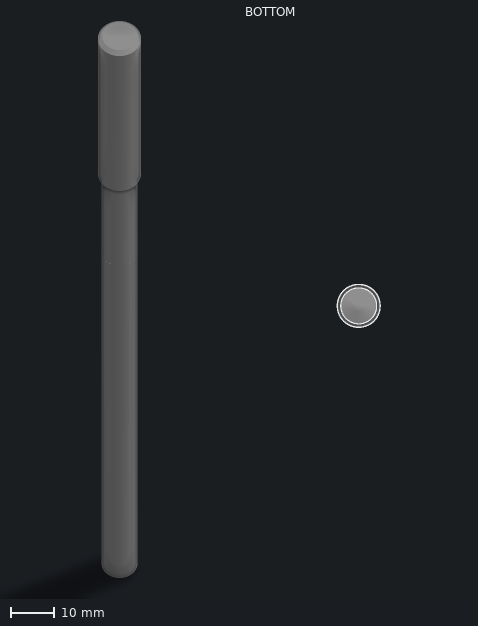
import cadquery as cq
import math

overall_length = 212.52

shank_diameter = 10.0
shank_length = 55.0
shank_chamfer = 1.0
neck_diameter = 8.33
neck_length = 31.0

cutting_diameter = 8.35
point_angle = 140.0

shank_radius = shank_diameter / 2
neck_radius = neck_diameter / 2
cutting_radius = cutting_diameter / 2
point_height = cutting_radius / math.tan(math.radians(point_angle / 2))
shoulder_z = overall_length - shank_length
cutting_top_z = shoulder_z - neck_length


def revolve_about_z(outline):
    """Turn a closed outline of (radius, Z) points about the drill axis."""
    return cq.Workplane("XZ").polyline(outline).close().revolve(360, (0, 0, 0), (0, 1, 0))


def make_shank():
    """Chamfered shank with the slightly slimmer neck below it."""
    return revolve_about_z([
        (0, cutting_top_z),
        (neck_radius, cutting_top_z),
        (neck_radius, shoulder_z),
        (shank_radius, shoulder_z),
        (shank_radius, overall_length - shank_chamfer),
        (shank_radius - shank_chamfer, overall_length),
        (0, overall_length),
    ])


def make_cutting_part():
    """Cutting cylinder ending in the conical point, its flat top against the neck."""
    return revolve_about_z([
        (0, 0),
        (cutting_radius, point_height),
        (cutting_radius, cutting_top_z),
        (0, cutting_top_z),
    ])


shank = make_shank()
cutting_part = make_cutting_part()

result = cq.Compound.makeCompound([shank.val(), cutting_part.val()])